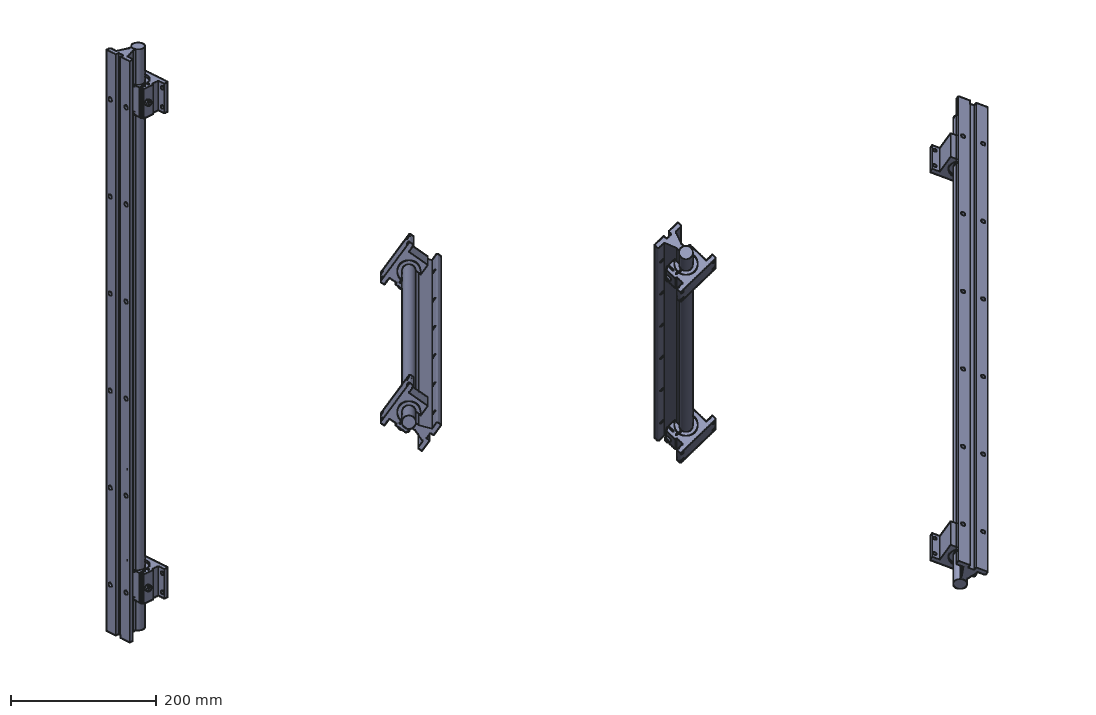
import cadquery as cq

LENGTH = 914.0

SHAFT_DIAMETER = 19.0

BASE_BOTTOM_Y = -38.0
BASE_WIDTH = 46.0
BASE_THICKNESS = 7.0
BASE_TOP_Y = BASE_BOTTOM_Y + BASE_THICKNESS
NECK_WIDTH = 9.0
NECK_BOTTOM_Y = -14.0
WEB_FOOT_WIDTH = 22.0
BASE_FILLET = 2.0
GROOVE_WIDTH = 9.0
GROOVE_DEPTH = 5.5
RAIL_HOLE_DIAMETER = 6.0
RAIL_HOLE_SPACING_X = 31.0
RAIL_HOLE_PITCH = 153.0
RAIL_HOLE_PAIRS = 6

BLOCK_LENGTH = 47.0
BLOCK_CENTRE_Z = RAIL_HOLE_PITCH * (RAIL_HOLE_PAIRS - 1) / 2
BLOCK_TOP_Y = 24.0
BLOCK_BOTTOM_Y = -16.0
BODY_WIDTH = 46.0
FLANGE_WIDTH = 69.5
FLANGE_THICKNESS = 7.0
FLANGE_FILLET = 2.0
RECESS_DIAMETER = 32.0
RECESS_DEPTH = 4.0
OPENING_WIDTH = 12.0
FLANGE_HOLE_DIAMETER = 5.5
FLANGE_HOLE_SPACING_X = 61.0
FLANGE_HOLE_SPACING_Z = 30.0

PAD_THICKNESS = 3.0
PAD_TOP_Y = 5.0
PAD_BOTTOM_Y = -14.0
SCREW_HEAD_DIAMETER = 9.0
SCREW_HEAD_CHAMFER = 2.0
SCREW_HEAD_HEIGHT = 5.5
SCREW_Y = -7.0
SLIT_WIDTH = 2.0
SIDE_SLIT_Y = 1.0
SIDE_SLIT_END_X = 20.0
BOTTOM_SLIT_X = 19.0
BOTTOM_SLIT_TOP_Y = -5.5


def prism(x_min, x_max, y_min, y_max, length):
    """Rectangular bar along Z, centred on z = 0."""
    return cq.Workplane("XY").box(x_max - x_min, y_max - y_min, length).translate(
        ((x_min + x_max) / 2, (y_min + y_max) / 2, 0)
    )


def cylinder_z(diameter, length):
    """Cylinder on the shaft axis, centred on z = 0."""
    return cq.Workplane("XY").workplane(offset=-length / 2).circle(diameter / 2).extrude(length)


def holes_along_y(points, diameter, y_min, y_max):
    """Cutting cylinders along Y at the given (x, z) points."""
    return (
        cq.Workplane("XZ", origin=(0, y_max, 0))
        .pushPoints(points)
        .circle(diameter / 2)
        .extrude(y_max - y_min)
    )


def make_shaft():
    return cylinder_z(SHAFT_DIAMETER, LENGTH)


def make_rail():
    """T-shaped rail with a flared web, a saddle for the shaft and a grooved base."""
    right_side = [
        (GROOVE_WIDTH / 2, BASE_BOTTOM_Y + GROOVE_DEPTH),
        (GROOVE_WIDTH / 2, BASE_BOTTOM_Y),
        (BASE_WIDTH / 2, BASE_BOTTOM_Y),
        (BASE_WIDTH / 2, BASE_TOP_Y),
        (WEB_FOOT_WIDTH / 2, BASE_TOP_Y),
        (NECK_WIDTH / 2, NECK_BOTTOM_Y),
        (NECK_WIDTH / 2, 0),
    ]
    left_side = [(-x, y) for x, y in reversed(right_side)]
    bottom_end = cq.Workplane("XY").workplane(offset=-LENGTH / 2)
    rail = bottom_end.polyline(right_side + left_side).close().extrude(LENGTH)
    rail = rail.cut(cylinder_z(SHAFT_DIAMETER, LENGTH))
    for side in (-1, 1):
        base_corner = cq.NearestToPointSelector((side * BASE_WIDTH / 2, BASE_TOP_Y, 0))
        rail = rail.edges("|Z").edges(base_corner).fillet(BASE_FILLET)

    first_z = -RAIL_HOLE_PITCH * (RAIL_HOLE_PAIRS - 1) / 2
    hole_points = [
        (side * RAIL_HOLE_SPACING_X / 2, first_z + i * RAIL_HOLE_PITCH)
        for i in range(RAIL_HOLE_PAIRS)
        for side in (-1, 1)
    ]
    return rail.cut(holes_along_y(hole_points, RAIL_HOLE_DIAMETER, BASE_BOTTOM_Y, BASE_TOP_Y))


def make_block(centre_z):
    """Open pillow block with a flanged top, end recesses, and an adjusting screw on its +X side."""
    half_body = BODY_WIDTH / 2
    half_flange = FLANGE_WIDTH / 2
    flange_bottom_y = BLOCK_TOP_Y - FLANGE_THICKNESS
    pad_x = half_body + PAD_THICKNESS

    block = prism(-half_body, half_body, BLOCK_BOTTOM_Y, BLOCK_TOP_Y, BLOCK_LENGTH)
    flange = prism(-half_flange, half_flange, flange_bottom_y, BLOCK_TOP_Y, BLOCK_LENGTH)
    block = block.union(flange.edges("|Z and >Y").fillet(FLANGE_FILLET))
    block = block.union(prism(half_body, pad_x, PAD_BOTTOM_Y, PAD_TOP_Y, BLOCK_LENGTH))

    block = block.cut(cylinder_z(SHAFT_DIAMETER, BLOCK_LENGTH))
    block = block.cut(prism(-OPENING_WIDTH / 2, OPENING_WIDTH / 2, BLOCK_BOTTOM_Y, 0, BLOCK_LENGTH))
    recess_centre_z = (BLOCK_LENGTH - RECESS_DEPTH) / 2
    for end in (-1, 1):
        recess = cylinder_z(RECESS_DIAMETER, RECESS_DEPTH)
        block = block.cut(recess.translate((0, 0, end * recess_centre_z)))

    side_slit = prism(
        0,
        SIDE_SLIT_END_X,
        SIDE_SLIT_Y - SLIT_WIDTH / 2,
        SIDE_SLIT_Y + SLIT_WIDTH / 2,
        BLOCK_LENGTH,
    )
    bottom_slit = prism(
        BOTTOM_SLIT_X - SLIT_WIDTH / 2,
        BOTTOM_SLIT_X + SLIT_WIDTH / 2,
        BLOCK_BOTTOM_Y,
        BOTTOM_SLIT_TOP_Y,
        BLOCK_LENGTH,
    )
    block = block.cut(side_slit).cut(bottom_slit)

    screw_head = (
        cq.Workplane("YZ", origin=(pad_x, SCREW_Y, 0))
        .circle(SCREW_HEAD_DIAMETER / 2)
        .extrude(SCREW_HEAD_HEIGHT)
        .faces(">X")
        .chamfer(SCREW_HEAD_CHAMFER)
    )
    block = block.union(screw_head)

    hole_points = [
        (x_side * FLANGE_HOLE_SPACING_X / 2, z_side * FLANGE_HOLE_SPACING_Z / 2)
        for x_side in (-1, 1)
        for z_side in (-1, 1)
    ]
    block = block.cut(holes_along_y(hole_points, FLANGE_HOLE_DIAMETER, flange_bottom_y, BLOCK_TOP_Y))
    return block.translate((0, 0, centre_z))


shaft = make_shaft()
rail = make_rail()
blocks = [make_block(side * BLOCK_CENTRE_Z) for side in (-1, 1)]

result = cq.Compound.makeCompound([shaft.val(), rail.val(), *[block.val() for block in blocks]])